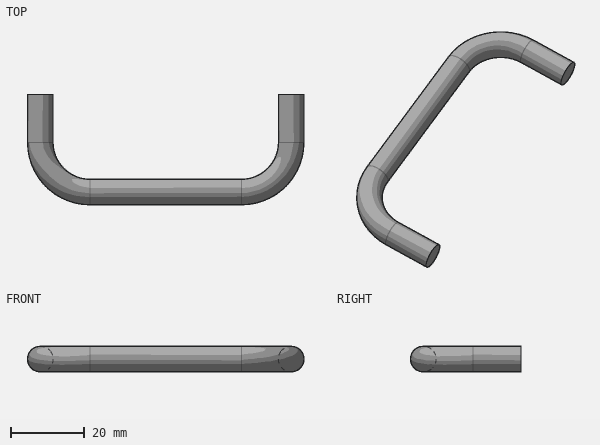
import cadquery as cq
import math

overall_length = 75.0
overall_depth = 30.0
rod_diameter = 7.0
inner_bend_radius = 10.0

rod_radius = rod_diameter / 2
bend_radius = inner_bend_radius + rod_radius
leg_x = overall_length / 2 - rod_radius
grip_y = rod_radius - overall_depth
bend_centre_x = leg_x - bend_radius
bend_centre_y = grip_y + bend_radius
diagonal_offset = bend_radius * math.sqrt(0.5)
bend_middle_x = bend_centre_x + diagonal_offset
bend_middle_y = bend_centre_y - diagonal_offset

centreline = (
    cq.Workplane("XY")
    .moveTo(-leg_x, 0)
    .lineTo(-leg_x, bend_centre_y)
    .threePointArc((-bend_middle_x, bend_middle_y), (-bend_centre_x, grip_y))
    .lineTo(bend_centre_x, grip_y)
    .threePointArc((bend_middle_x, bend_middle_y), (leg_x, bend_centre_y))
    .lineTo(leg_x, 0)
)

result = cq.Workplane("XZ").center(-leg_x, 0).circle(rod_radius).sweep(centreline)